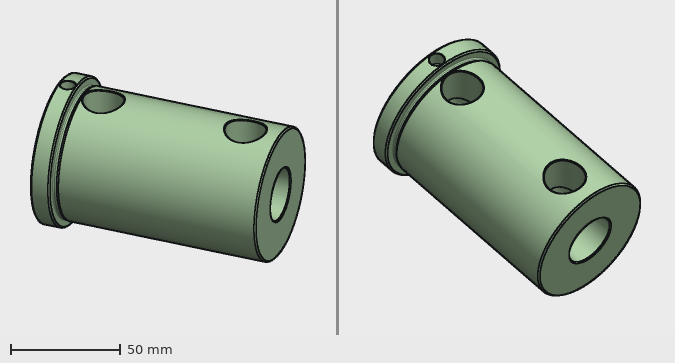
import cadquery as cq

length = 109.5
flange_diameter = 71.1
flange_width = 9.5
body_diameter = 63.5
bore_diameter = 25.0
edge_chamfer = 0.8
bore_chamfer = 0.5

groove_diameter = 62.3
groove_width = 3.0
groove_fillet = 0.5
groove_ramp = 1.1

cross_hole_diameter = 19.1
cross_hole_rim = 0.4
cross_hole_positions = (22.2, 92.2)
screw_hole_diameter = 4.9
screw_counterbore_diameter = 7.1
screw_counterbore_depth = 8.8
screw_rim = 0.2
screw_hole_x = flange_width / 2

flange_radius = flange_diameter / 2
body_radius = body_diameter / 2
groove_radius = groove_diameter / 2
groove_end = flange_width + groove_width


def turned_blank():
    """Revolve the flange and plain body about the X axis."""
    return (
        cq.Workplane("XY")
        .moveTo(0, 0)
        .lineTo(0, flange_radius - edge_chamfer)
        .lineTo(edge_chamfer, flange_radius)
        .lineTo(flange_width - edge_chamfer, flange_radius)
        .lineTo(flange_width, flange_radius - edge_chamfer)
        .lineTo(flange_width, body_radius)
        .lineTo(length - edge_chamfer, body_radius)
        .lineTo(length, body_radius - edge_chamfer)
        .lineTo(length, 0)
        .close()
        .revolve(360, (0, 0, 0), (1, 0, 0))
    )


def groove_cutter():
    """Ring with a fillet at the flange and a ramp up to the body."""
    return (
        cq.Workplane("XY")
        .moveTo(flange_width, body_radius)
        .lineTo(flange_width, groove_radius + groove_fillet)
        .radiusArc((flange_width + groove_fillet, groove_radius), -groove_fillet)
        .lineTo(groove_end - groove_ramp, groove_radius)
        .lineTo(groove_end, body_radius)
        .close()
        .revolve(360, (0, 0, 0), (1, 0, 0))
    )


def bore_cutter():
    """Through bore with a countersunk edge at both ends."""
    radius = bore_diameter / 2
    return (
        cq.Workplane("XY")
        .moveTo(0, 0)
        .lineTo(0, radius + bore_chamfer)
        .lineTo(bore_chamfer, radius)
        .lineTo(length - bore_chamfer, radius)
        .lineTo(length, radius + bore_chamfer)
        .lineTo(length, 0)
        .close()
        .revolve(360, (0, 0, 0), (1, 0, 0))
    )


def radial_cutter(x, diameter, top=flange_radius):
    """Vertical cylinder from the bore axis up to the given height."""
    return cq.Workplane("XY").center(x, 0).circle(diameter / 2).extrude(top)


def break_rim(part, x, diameter, outer_radius, rim):
    """Chamfer the edge where a radial hole meets the outside surface."""
    reach = diameter / 2 + rim
    rim_box = cq.selectors.BoxSelector(
        (x - reach, -reach, outer_radius - diameter / 4),
        (x + reach, reach, outer_radius + rim),
        boundingbox=True,
    )
    return part.edges(rim_box).chamfer(rim)


result = turned_blank().cut(bore_cutter())

for hole_x in cross_hole_positions:
    result = result.cut(radial_cutter(hole_x, cross_hole_diameter))
    result = break_rim(result, hole_x, cross_hole_diameter, body_radius, cross_hole_rim)

result = result.cut(radial_cutter(screw_hole_x, screw_hole_diameter))
screw_step = (screw_counterbore_diameter - screw_hole_diameter) / 2
screw_counterbore = (
    radial_cutter(screw_hole_x, screw_counterbore_diameter)
    .faces("<Z")
    .chamfer(screw_step)
    .translate((0, 0, flange_radius - screw_counterbore_depth))
)
result = result.cut(screw_counterbore)
result = break_rim(result, screw_hole_x, screw_counterbore_diameter, flange_radius, screw_rim)

result = result.cut(groove_cutter())